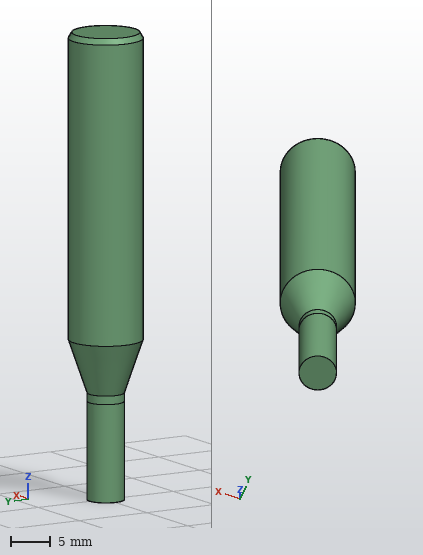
import cadquery as cq

overall_length = 60.325
shank_diameter = 9.525
neck_diameter = shank_diameter / 2
cutter_diameter = neck_diameter

cutter_length = 12.7
neck_length = 1.1
taper_length = 6.9
neck_top = cutter_length + neck_length
taper_top = neck_top + taper_length

bevel_height = 0.75
bevel_inset = 0.45


def revolve_about_z(outline):
    """Turn an outline of (radius, height) points, drawn on the -Y side, into a round solid."""
    half_section = [(-radius, height) for radius, height in outline]
    return (
        cq.Workplane("YZ")
        .polyline(half_section)
        .close()
        .revolve(360, (0, 0, 0), (0, 1, 0))
    )


def make_cutter():
    """Plain round cutting end below the neck."""
    radius = cutter_diameter / 2
    return revolve_about_z([
        (0, 0),
        (radius, 0),
        (radius, cutter_length),
        (0, cutter_length),
    ])


def make_shank():
    """Short neck, taper and cylindrical shank with a bevelled top end."""
    neck_radius = neck_diameter / 2
    shank_radius = shank_diameter / 2
    return revolve_about_z([
        (0, cutter_length),
        (neck_radius, cutter_length),
        (neck_radius, neck_top),
        (shank_radius, taper_top),
        (shank_radius, overall_length - bevel_height),
        (shank_radius - bevel_inset, overall_length),
        (0, overall_length),
    ])


cutter = make_cutter()
shank = make_shank()

result = cq.Compound.makeCompound([cutter.val(), shank.val()])